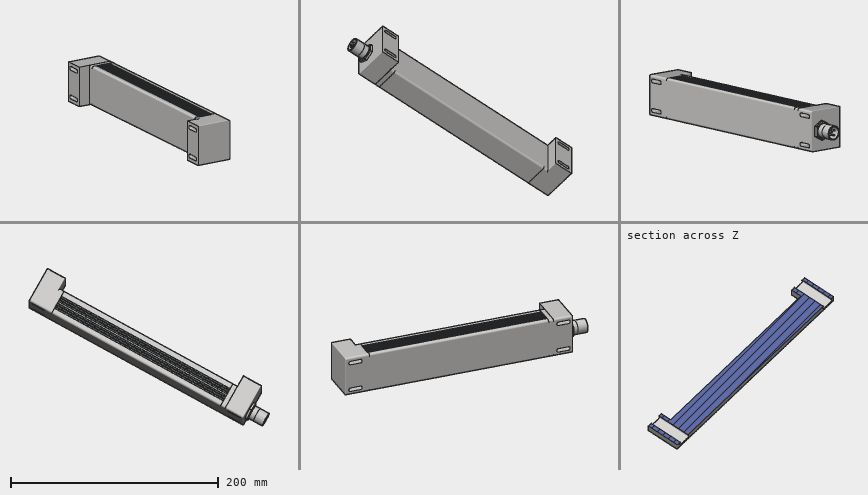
import cadquery as cq
import math


BLOCK_WIDTH = 20.0
BLOCK_DEPTH = 36.5
BLOCK_HEIGHT = 40.04
BLOCKS_SPAN = 236.0
BACK_EDGE_RADIUS = 2.0
CONNECTOR_BLOCK_RADIUS = 0.5
PLAIN_BLOCK_RADIUS = 0.6

HOUSING_DEPTH = 25.0
HOUSING_EDGE_RADIUS = 2.0
PROFILE_HEIGHT = 40.0
END_CAP_HEIGHT = 40.02
END_CAP_LENGTH = 5.0

RIB_WIDTH = 1.35
RIB_PITCH = 2.15
RIBS_PER_BANK = 3
RIB_CROWN_RISE = 0.5
VALLEY_DEPTH = 0.7
RIB_ROOT_OVERLAP = 1.0
BANK_SPACING = 7.6
BANK_MARGIN = 0.1
BANK_WIDTH = (RIBS_PER_BANK - 1) * RIB_PITCH + RIB_WIDTH + 2 * BANK_MARGIN

SLOT_LENGTH = 13.8
SLOT_WIDTH = 3.8
SLOT_SPACING = 29.0
SLOT_OFFSET = 9.8

CONNECTOR_LENGTH = 18.0
SLEEVE_DIAMETER = 14.0
BORE_DIAMETER = 12.0
BORE_DEPTH = 10.0
NUT_ACROSS_FLATS = 17.0
NUT_THICKNESS = 3.0
NUT_CHAMFER = 0.9
PIN_DIAMETER = 1.5
PIN_CIRCLE_RADIUS = 2.5
PIN_PLACES = 5

BACK_Y = HOUSING_DEPTH / 2
PROFILE_START_X = BLOCK_WIDTH + END_CAP_LENGTH
PROFILE_END_X = BLOCKS_SPAN - PROFILE_START_X
PROFILE_LENGTH = PROFILE_END_X - PROFILE_START_X


def back_aligned_bar(start_x, length, depth, height):
    """Bar along X whose back face lies on the common back plane."""
    bar = cq.Workplane("XY").box(length, depth, height, centered=(False, True, True))
    return bar.translate((start_x, BACK_Y - depth / 2, 0))


def make_block(start_x):
    block = back_aligned_bar(start_x, BLOCK_WIDTH, BLOCK_DEPTH, BLOCK_HEIGHT)
    return block.edges("|X and >Y").fillet(BACK_EDGE_RADIUS)


def make_connector_block():
    return make_block(0).edges("|Y and <X").fillet(CONNECTOR_BLOCK_RADIUS)


def make_plain_block():
    return make_block(BLOCKS_SPAN - BLOCK_WIDTH).edges("|Y").fillet(PLAIN_BLOCK_RADIUS)


def housing_bar(start_x, end_x, height):
    bar = back_aligned_bar(start_x, end_x - start_x, HOUSING_DEPTH, height)
    return bar.edges("|X").fillet(HOUSING_EDGE_RADIUS)


def make_end_caps():
    near_cap = housing_bar(BLOCK_WIDTH / 2, PROFILE_START_X, END_CAP_HEIGHT)
    far_cap = housing_bar(PROFILE_END_X, BLOCKS_SPAN - BLOCK_WIDTH / 2, END_CAP_HEIGHT)
    return near_cap.union(far_cap)


def cut_rib_bank(profile, center_y):
    """Sink a pocket into the top of the profile and stand a row of round-topped ribs in it."""
    top_z = PROFILE_HEIGHT / 2
    pocket = cq.Workplane("XY", origin=(PROFILE_START_X, center_y, top_z - VALLEY_DEPTH)).box(
        PROFILE_LENGTH, BANK_WIDTH, VALLEY_DEPTH, centered=(False, True, False)
    )
    profile = profile.cut(pocket)
    for rib in range(RIBS_PER_BANK):
        rib_y = center_y + (rib - (RIBS_PER_BANK - 1) / 2) * RIB_PITCH
        profile = profile.union(make_rib(rib_y, top_z))
    return profile


def make_rib(center_y, top_z):
    half_width = RIB_WIDTH / 2
    shoulder_z = top_z - RIB_CROWN_RISE
    root_z = top_z - VALLEY_DEPTH - RIB_ROOT_OVERLAP
    return (
        cq.Workplane("YZ", origin=(PROFILE_START_X, center_y, 0))
        .moveTo(-half_width, root_z)
        .lineTo(-half_width, shoulder_z)
        .threePointArc((0, top_z), (half_width, shoulder_z))
        .lineTo(half_width, root_z)
        .close()
        .extrude(PROFILE_LENGTH)
    )


def make_ribbed_profile():
    profile = housing_bar(PROFILE_START_X, PROFILE_END_X, PROFILE_HEIGHT)
    for side in (-1, 1):
        profile = cut_rib_bank(profile, side * BANK_SPACING / 2)
    return profile


def make_slots():
    """Two slots in each block, running through the full depth of the blocks."""
    half_pitch = SLOT_SPACING / 2
    slot_centers = (SLOT_OFFSET, BLOCKS_SPAN - BLOCK_WIDTH + SLOT_OFFSET)
    return (
        cq.Workplane("XZ", origin=(0, BACK_Y, 0))
        .pushPoints([(x, side * half_pitch) for x in slot_centers for side in (-1, 1)])
        .slot2D(SLOT_LENGTH, SLOT_WIDTH)
        .extrude(BLOCK_DEPTH)
    )


def make_nut():
    """Hexagonal nut with corners up and down and its outer face chamfered."""
    corner_diameter = NUT_ACROSS_FLATS / math.cos(math.pi / 6)
    hexagon = cq.Workplane("YZ").polygon(6, corner_diameter).extrude(-NUT_THICKNESS)
    hexagon = hexagon.rotate((0, 0, 0), (1, 0, 0), 90)
    return hexagon.faces("<X").chamfer(NUT_CHAMFER)


def make_connector():
    sleeve = cq.Workplane("YZ").circle(SLEEVE_DIAMETER / 2).extrude(-CONNECTOR_LENGTH)
    bore = (
        cq.Workplane("YZ", origin=(-CONNECTOR_LENGTH, 0, 0))
        .circle(BORE_DIAMETER / 2)
        .extrude(BORE_DEPTH)
    )
    connector = sleeve.union(make_nut()).cut(bore)
    return connector.union(make_pins())


def make_pins():
    """Pins on five evenly spaced places of a circle; the place facing -Y stays empty."""
    angles = [math.pi + 2 * math.pi * place / PIN_PLACES for place in range(1, PIN_PLACES)]
    centers = [(PIN_CIRCLE_RADIUS * math.cos(a), PIN_CIRCLE_RADIUS * math.sin(a)) for a in angles]
    return (
        cq.Workplane("YZ", origin=(BORE_DEPTH - CONNECTOR_LENGTH, 0, 0))
        .pushPoints(centers)
        .circle(PIN_DIAMETER / 2)
        .extrude(-BORE_DEPTH)
    )


result = (
    make_end_caps()
    .union(make_ribbed_profile())
    .union(make_connector_block())
    .union(make_plain_block())
    .union(make_connector())
    .cut(make_slots())
)